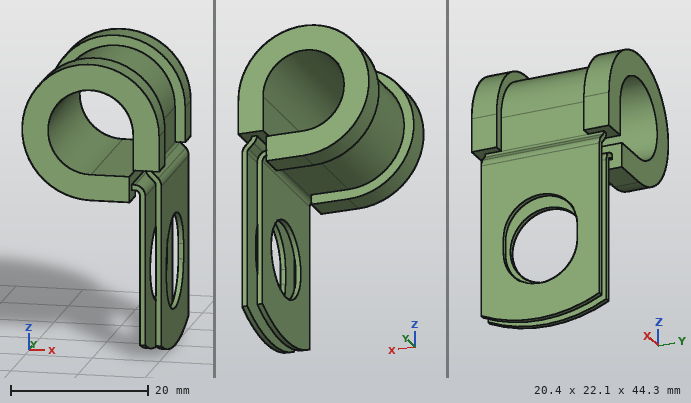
import cadquery as cq
import math

overall_width = 20.45
overall_height = 44.3
flange_radius = overall_width / 2
bore_radius = 6.35
cushion_length = 22.1
flange_width = 4.05
lower_end_x = 5.8
upper_end_z = -5.35

flange_height = 1.5
strap_radius = flange_radius - flange_height
strap_thickness = 0.8
strap_width = 19.05
tip_z = flange_radius - overall_height
tip_sag = 2.15
hole_diameter = 11.88
slot_length = 14.2
hole_z = -21.4

leg_gap = 1.6
outer_leg_inside_x = flange_radius - strap_thickness
inner_leg_x = outer_leg_inside_x - leg_gap
bend_inner_radius = strap_thickness
bend_outer_radius = bend_inner_radius + strap_thickness
end_overlap = 0.45

upper_overlap_z = upper_end_z + end_overlap
lower_overlap_x = lower_end_x - end_overlap
strap_inner_radius = strap_radius - strap_thickness
half_root = math.sqrt(0.5)
quarter_of_right_angle = math.radians(22.5)
sin_22 = math.sin(quarter_of_right_angle)
cos_22 = math.cos(quarter_of_right_angle)


def extrude_centered(sketch, width):
    """Extrude an XZ sketch symmetrically about Y = 0."""
    return sketch.extrude(width / 2, both=True)


def open_ring(outer_radius, width):
    """Three-quarter ring with a straight run at each end."""
    outline = (
        cq.Workplane("XZ")
        .moveTo(lower_end_x, -outer_radius)
        .lineTo(0, -outer_radius)
        .threePointArc((-outer_radius * half_root, outer_radius * half_root), (outer_radius, 0))
        .lineTo(outer_radius, upper_end_z)
        .lineTo(bore_radius, upper_end_z)
        .lineTo(bore_radius, 0)
        .threePointArc((-bore_radius * half_root, bore_radius * half_root), (0, -bore_radius))
        .lineTo(lower_end_x, -bore_radius)
        .close()
    )
    return extrude_centered(outline, width)


def make_cushion():
    flange_center = (cushion_length - flange_width) / 2
    cushion = open_ring(strap_radius, cushion_length)
    for side in (-1, 1):
        flange = open_ring(flange_radius, flange_width).translate((0, side * flange_center, 0))
        cushion = cushion.union(flange)
    return cushion


def make_inner_leg():
    """Leg leaving the lower cushion end and turning down through a quarter bend."""
    bend_x = inner_leg_x - bend_outer_radius
    bend_z = -strap_inner_radius - bend_outer_radius
    outline = (
        cq.Workplane("XZ")
        .moveTo(lower_overlap_x, -strap_inner_radius)
        .lineTo(bend_x, -strap_inner_radius)
        .threePointArc(
            (bend_x + bend_outer_radius * half_root, bend_z + bend_outer_radius * half_root),
            (inner_leg_x, bend_z),
        )
        .lineTo(inner_leg_x, tip_z)
        .lineTo(inner_leg_x - strap_thickness, tip_z)
        .lineTo(inner_leg_x - strap_thickness, bend_z)
        .threePointArc(
            (bend_x + bend_inner_radius * half_root, bend_z + bend_inner_radius * half_root),
            (bend_x, -strap_radius),
        )
        .lineTo(lower_overlap_x, -strap_radius)
        .close()
    )
    return extrude_centered(outline, strap_width)


def make_outer_leg():
    """Leg leaving the upper cushion end and jogging outward through two 45 degree bends."""
    inner_drop = bend_inner_radius * half_root
    outer_drop = bend_outer_radius * half_root
    upper_bend_x = strap_radius + bend_inner_radius
    lower_bend_x = outer_leg_inside_x - bend_inner_radius
    jog_run = (lower_bend_x + inner_drop) - (upper_bend_x - outer_drop)
    lower_bend_z = upper_end_z - outer_drop - jog_run - inner_drop
    outline = (
        cq.Workplane("XZ")
        .moveTo(strap_inner_radius, upper_end_z)
        .threePointArc(
            (upper_bend_x - bend_outer_radius * cos_22, upper_end_z - bend_outer_radius * sin_22),
            (upper_bend_x - outer_drop, upper_end_z - outer_drop),
        )
        .lineTo(lower_bend_x + inner_drop, lower_bend_z + inner_drop)
        .threePointArc(
            (lower_bend_x + bend_inner_radius * cos_22, lower_bend_z + bend_inner_radius * sin_22),
            (outer_leg_inside_x, lower_bend_z),
        )
        .lineTo(outer_leg_inside_x, tip_z)
        .lineTo(flange_radius, tip_z)
        .lineTo(flange_radius, lower_bend_z)
        .threePointArc(
            (lower_bend_x + bend_outer_radius * cos_22, lower_bend_z + bend_outer_radius * sin_22),
            (lower_bend_x + outer_drop, lower_bend_z + outer_drop),
        )
        .lineTo(upper_bend_x - inner_drop, upper_end_z - inner_drop)
        .threePointArc(
            (upper_bend_x - bend_inner_radius * cos_22, upper_end_z - bend_inner_radius * sin_22),
            (strap_radius, upper_end_z),
        )
        .lineTo(strap_radius, upper_overlap_z)
        .lineTo(strap_inner_radius, upper_overlap_z)
        .close()
    )
    return extrude_centered(outline, strap_width)


def make_leg_face():
    """Prism along X with the rounded tip shared by both legs."""
    half_width = strap_width / 2
    shoulder_z = tip_z + tip_sag
    return (
        cq.Workplane("YZ")
        .moveTo(-half_width, 0)
        .lineTo(-half_width, shoulder_z)
        .threePointArc((0, tip_z), (half_width, shoulder_z))
        .lineTo(half_width, 0)
        .close()
        .extrude(flange_radius)
    )


def make_bolt_hole():
    """Round hole through the inner leg."""
    return (
        cq.Workplane("YZ")
        .center(0, hole_z)
        .circle(hole_diameter / 2)
        .extrude(flange_radius)
    )


def make_bolt_slot():
    """Slot through the outer leg, elongated along Z about the bolt hole."""
    return (
        cq.Workplane("YZ")
        .center(0, hole_z)
        .slot2D(slot_length, hole_diameter, 90)
        .extrude(flange_radius)
    )


leg_face = make_leg_face()
inner_leg = make_inner_leg().intersect(leg_face).cut(make_bolt_hole())
outer_leg = make_outer_leg().intersect(leg_face).cut(make_bolt_slot())
result = make_cushion().union(inner_leg).union(outer_leg)